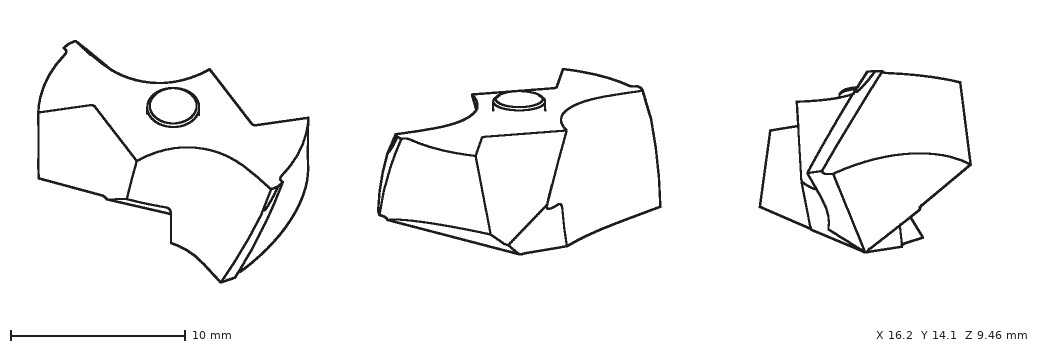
import cadquery as cq
import math

body_depth = 8.65
margin_radius = 8.1
clearance_radius = 7.75
reach = 32.4

twist_depth = 9.72
twist_rate = 4.259
lip_angle = 14.5
margin_end_angle = 20.7
step_middle = (7.82, 21.6)
clearance_start_angle = 23.6
flute_end_angle = 115.0
flute_points = [(-6.25, -1.75), (-3.92, -0.9), (-2.43, 0.71), (-1.95, 2.6), (-2.02, 3.8)]

core_half_width = 3.56
notch_corner_x = 2.98
notch_wall = (6.6, 18.7)
notch_lean = 0.2
notch_fillet = 0.25

lip_slope = 0.35
relief_slope = 0.4
gash_slope_x = 1.0
gash_slope_y = -0.95
gash_wall = (12.2, -7.9)
gash_fillet = 0.32

trim_x = 7.71
trim_depth = 5.3
trim_run = 1.1

pin_radius = 1.49
pin_height = 0.81
pin_chamfer = 0.15
pin_root_fillet = 0.13


def polar(radius, degrees):
    angle = math.radians(degrees)
    return radius * math.cos(angle), radius * math.sin(angle)


def turned(point, degrees):
    """Rotate a point of the XY plane about the origin."""
    angle = math.radians(degrees)
    x, y = point
    return x * math.cos(angle) - y * math.sin(angle), x * math.sin(angle) + y * math.cos(angle)


def half_space(point, normal):
    """Large block filling the side of a plane that its normal points to."""
    plane = cq.Plane(origin=point, normal=normal)
    return cq.Workplane(plane).rect(reach, reach).extrude(reach)


def half_turn(shape):
    return shape.rotate((0, 0, 0), (0, 0, 1), 180)


def cut_both(body, cutter):
    return body.cut(cutter).cut(half_turn(cutter))


def fluted_blank():
    twist = twist_rate * twist_depth

    def place(point, half):
        return turned(point, 180 * half - twist)

    clearance_middle = (clearance_start_angle + flute_end_angle) / 2
    margin_middle = (lip_angle + margin_end_angle) / 2
    section = cq.Workplane("XY", origin=(0, 0, -twist_depth))
    section = section.moveTo(*place(polar(margin_radius, lip_angle), 0))
    for half in (0, 1):
        section = section.threePointArc(
            place(polar(margin_radius, margin_middle), half),
            place(polar(margin_radius, margin_end_angle), half),
        )
        section = section.threePointArc(
            place(polar(*step_middle), half),
            place(polar(clearance_radius, clearance_start_angle), half),
        )
        section = section.threePointArc(
            place(polar(clearance_radius, clearance_middle), half),
            place(polar(clearance_radius, flute_end_angle), half),
        )
        next_lip = polar(margin_radius, lip_angle + 180)
        flute = [place(point, half) for point in reversed(flute_points)]
        section = section.lineTo(*flute[0])
        section = section.spline(flute[1:] + [place(next_lip, half)], includeCurrent=True)
    return section.close().twistExtrude(twist_depth, twist)


def shoulder_notch():
    wall_x, wall_y = notch_wall
    corner = (-notch_corner_x, -core_half_width, 0)
    wall_normal = (wall_y, -wall_x, notch_lean * wall_y)
    notch = half_space(corner, (0, -1, 0)).intersect(half_space(corner, wall_normal))
    root = cq.selectors.NearestToPointSelector(corner)
    return notch.edges(root).fillet(notch_fillet)


def gash():
    tip = (0, 0, -body_depth)
    wall_x, wall_y = gash_wall
    below_floor = half_space(tip, (gash_slope_x, gash_slope_y, -1))
    beside_wall = half_space(tip, (wall_y, -wall_x, 0))
    root = cq.selectors.NearestToPointSelector(tip)
    return below_floor.intersect(beside_wall).edges(root).fillet(gash_fillet)


def point_facets(body):
    tip = (0, 0, -body_depth)
    for slope_y in (0, relief_slope):
        body = cut_both(body, half_space(tip, (lip_slope, slope_y, -1)))
    return body


def corner_trim():
    return half_space((trim_x, 0, 0), (trim_depth, 0, trim_run))


def pin():
    shaft = cq.Workplane("XY").circle(pin_radius).extrude(pin_height)
    shaft = shaft.faces(">Z").chamfer(pin_chamfer)
    root_middle = pin_root_fillet * (1 - math.sqrt(0.5))
    root = (
        cq.Workplane("XZ")
        .lineTo(pin_radius + pin_root_fillet, 0)
        .threePointArc((pin_radius + root_middle, root_middle), (pin_radius, pin_root_fillet))
        .lineTo(0, pin_root_fillet)
        .close()
        .revolve(360, (0, 0, 0), (0, 1, 0))
    )
    return shaft.union(root)


body = point_facets(fluted_blank())
body = cut_both(body, shoulder_notch())
body = cut_both(body, gash())
body = cut_both(body, corner_trim())
result = body.union(pin())